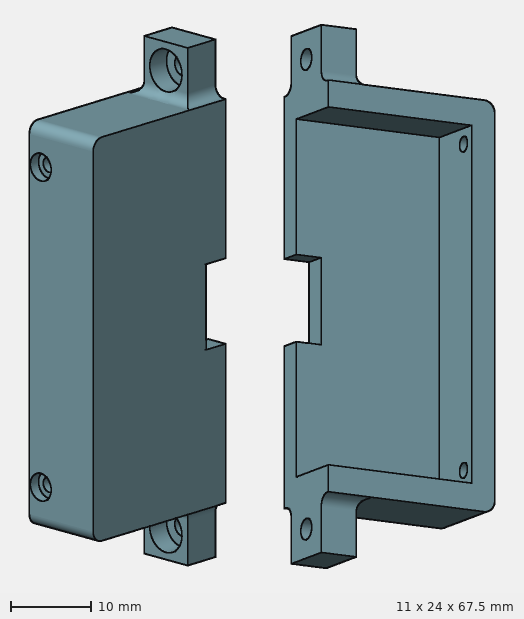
import cadquery as cq

width = 11.0
depth = 24.0
total_height = 67.5
body_height = 52.65
corner_radius = 1.55

end_wall = 3.45
front_wall = 3.4
side_wall = 3.05

notch_depth = 3.6
notch_height = 11.15

lug_width = 7.5
lug_depth = 5.05
lug_fillet = 1.5
lug_height = (total_height - body_height) / 2
lug_hole_diameter = 2.7
lug_bore_diameter = 5.55
lug_bore_depth = 3.05
lug_hole_z = total_height / 2 - lug_height / 2

screw_x = -3.5
screw_z = 20.85
screw_hole_diameter = 1.95
screw_bore_diameter = 3.6
screw_bore_depth = 1.5


def block(x_size, y_min, y_max, z_size):
    """Box centred on X and Z, spanning y_min to y_max."""
    return cq.Workplane("XY").box(x_size, y_max - y_min, z_size).translate((0, (y_min + y_max) / 2, 0))


def counterbore(x, y, z, hole_diameter, bore_diameter, bore_depth, length):
    """Cutter running toward +Y from y, with its wide bore first."""
    start = cq.Workplane("XZ", origin=(x, y, z))
    hole = start.circle(hole_diameter / 2).extrude(-length)
    bore = start.circle(bore_diameter / 2).extrude(-bore_depth)
    return hole.union(bore)


def make_body():
    body = block(width, 0, depth, body_height).edges("|X and <Y").fillet(corner_radius)
    cavity = block(width, front_wall, depth, body_height - 2 * end_wall).translate((-side_wall, 0, 0))
    notch = block(width, depth - notch_depth, depth, notch_height)
    return body.cut(cavity).cut(notch)


def add_lugs(body):
    lug_front = depth - lug_depth
    margin = 0.1
    for side in (1, -1):
        lug = block(lug_width, lug_front, depth, lug_height)
        body = body.union(lug.translate((0, 0, side * (body_height + lug_height) / 2)))
        body = body.cut(counterbore(
            0, lug_front, side * lug_hole_z,
            lug_hole_diameter, lug_bore_diameter, lug_bore_depth, lug_depth,
        ))
        half_x = lug_width / 2 + margin
        root_z = side * body_height / 2
        roots = cq.selectors.BoxSelector(
            (-half_x, lug_front - margin, root_z - margin),
            (half_x, depth - margin, root_z + margin),
        )
        body = body.edges(roots).fillet(lug_fillet)
    return body


def cut_screw_holes(body):
    for side in (1, -1):
        body = body.cut(counterbore(
            screw_x, 0, side * screw_z,
            screw_hole_diameter, screw_bore_diameter, screw_bore_depth, front_wall,
        ))
    return body


result = cut_screw_holes(add_lugs(make_body())).translate((0, -depth / 2, 0))